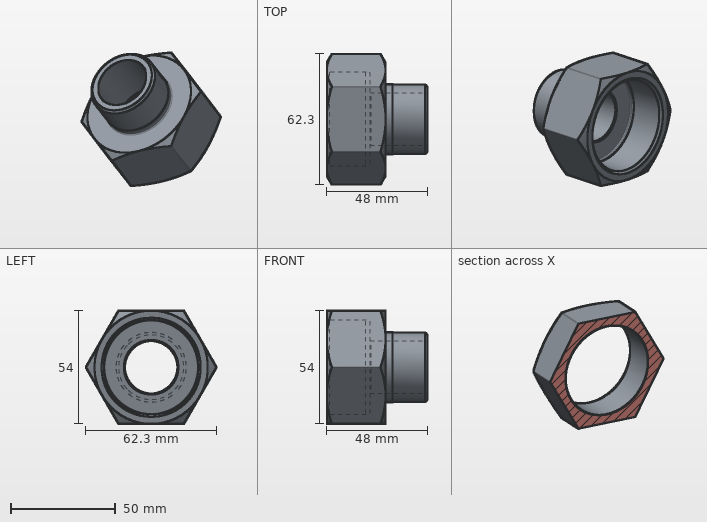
import cadquery as cq
import math

ACROSS_FLATS = 54.0
HEX_SIDES = 6
HEX_LENGTH = 28.0
CORNER_RADIUS = 0.3
END_CIRCLE_DIAMETER = ACROSS_FLATS
CORNER_CHAMFER_ANGLE = 30.0

TOTAL_LENGTH = 48.0
SPIGOT_DIAMETER = 33.25
SPIGOT_CHAMFER = 1.15
NECK_DIAMETER = 33.45
NECK_LENGTH = 3.2
NECK_FILLET = 0.5

SOCKET_DIAMETER = 44.84
SOCKET_DEPTH = 20.5
MOUTH_DIAMETER = 47.3
RELIEF_DIAMETER = 45.05
RELIEF_LENGTH = 2.0
FLOOR_FILLET = 0.5
PASSAGE_DIAMETER = 25.0
PASSAGE_CHAMFER = 0.5


def revolve_about_x(profile):
    """Revolve a closed (X, radius) profile about the X axis."""
    return profile.close().revolve(360, (0, 0, 0), (1, 0, 0))


def hex_body():
    """Hexagonal prism with flats facing +-Z, corners turned down at both ends."""
    across_corners = ACROSS_FLATS / math.cos(math.pi / HEX_SIDES)
    prism = (
        cq.Workplane("YZ")
        .polygon(HEX_SIDES, across_corners)
        .extrude(HEX_LENGTH)
        .edges("|X")
        .fillet(CORNER_RADIUS)
    )
    end_radius = END_CIRCLE_DIAMETER / 2
    corner_radius = across_corners / 2
    cone_length = (corner_radius - end_radius) * math.tan(math.radians(CORNER_CHAMFER_ANGLE))
    envelope = revolve_about_x(
        cq.Workplane("XY")
        .moveTo(0, 0)
        .lineTo(0, end_radius)
        .lineTo(cone_length, corner_radius)
        .lineTo(HEX_LENGTH - cone_length, corner_radius)
        .lineTo(HEX_LENGTH, end_radius)
        .lineTo(HEX_LENGTH, 0)
    )
    return prism.intersect(envelope)


def spigot():
    """Round spigot with a slightly wider neck, a root fillet and a chamfered tip."""
    radius = SPIGOT_DIAMETER / 2
    neck_radius = NECK_DIAMETER / 2
    neck_end = HEX_LENGTH + NECK_LENGTH
    return revolve_about_x(
        cq.Workplane("XY")
        .moveTo(HEX_LENGTH, 0)
        .lineTo(HEX_LENGTH, neck_radius + NECK_FILLET)
        .radiusArc((HEX_LENGTH + NECK_FILLET, neck_radius), -NECK_FILLET)
        .lineTo(neck_end, neck_radius)
        .lineTo(neck_end, radius)
        .lineTo(TOTAL_LENGTH - SPIGOT_CHAMFER, radius)
        .lineTo(TOTAL_LENGTH, radius - SPIGOT_CHAMFER)
        .lineTo(TOTAL_LENGTH, 0)
    )


def stepped_bore():
    """Socket with a chamfered mouth and a slightly wider relief at its floor, leading into the passage."""
    socket_radius = SOCKET_DIAMETER / 2
    mouth_radius = MOUTH_DIAMETER / 2
    relief_radius = RELIEF_DIAMETER / 2
    passage_radius = PASSAGE_DIAMETER / 2
    relief_start = SOCKET_DEPTH - RELIEF_LENGTH
    return revolve_about_x(
        cq.Workplane("XY")
        .moveTo(0, 0)
        .lineTo(0, mouth_radius)
        .lineTo(mouth_radius - socket_radius, socket_radius)
        .lineTo(relief_start, socket_radius)
        .lineTo(relief_start, relief_radius)
        .lineTo(SOCKET_DEPTH - FLOOR_FILLET, relief_radius)
        .radiusArc((SOCKET_DEPTH, relief_radius - FLOOR_FILLET), FLOOR_FILLET)
        .lineTo(SOCKET_DEPTH, passage_radius + PASSAGE_CHAMFER)
        .lineTo(SOCKET_DEPTH + PASSAGE_CHAMFER, passage_radius)
        .lineTo(TOTAL_LENGTH, passage_radius)
        .lineTo(TOTAL_LENGTH, 0)
    )


result = hex_body().union(spigot()).cut(stepped_bore())